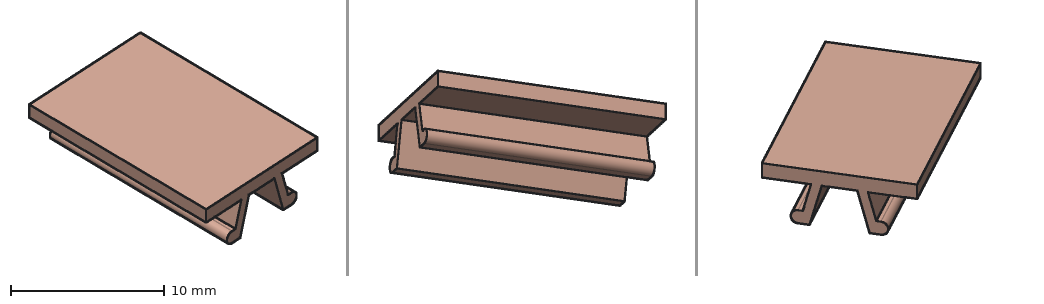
import cadquery as cq
import math

LENGTH = 16.0
PLATE_WIDTH = 10.5
TOTAL_HEIGHT = 4.2
PLATE_THICKNESS = 1.1
LEG_ANGLE = 15.0
LEG_THICKNESS = 0.7
LEG_ROOT_INNER_Y = 1.2
BEAD_RADIUS = 0.5
BEAD_TIP_Y = 3.3

plate_underside_z = TOTAL_HEIGHT - PLATE_THICKNESS
bead_top_z = 2 * BEAD_RADIUS
bead_center_y = BEAD_TIP_Y - BEAD_RADIUS
lean = math.tan(math.radians(LEG_ANGLE))
leg_root_outer_y = LEG_ROOT_INNER_Y + LEG_THICKNESS / math.cos(math.radians(LEG_ANGLE))
leg_foot_inner_y = LEG_ROOT_INNER_Y + lean * plate_underside_z
leg_bead_outer_y = leg_root_outer_y + lean * (plate_underside_z - bead_top_z)


def make_plate():
    """Flat rectangular cover plate on top of the legs."""
    return (
        cq.Workplane("XY")
        .workplane(offset=plate_underside_z)
        .rect(LENGTH, PLATE_WIDTH)
        .extrude(PLATE_THICKNESS)
    )


def make_leg():
    """Leaning snap leg on the +Y side, with a rounded lip turned outward at its foot."""
    return (
        cq.Workplane("YZ")
        .workplane(offset=-LENGTH / 2)
        .moveTo(LEG_ROOT_INNER_Y, plate_underside_z)
        .lineTo(leg_foot_inner_y, 0)
        .lineTo(bead_center_y, 0)
        .threePointArc((BEAD_TIP_Y, BEAD_RADIUS), (bead_center_y, bead_top_z))
        .lineTo(leg_bead_outer_y, bead_top_z)
        .lineTo(leg_root_outer_y, plate_underside_z)
        .close()
        .extrude(LENGTH)
    )


leg = make_leg()
result = make_plate().union(leg).union(leg.mirror("XZ"))